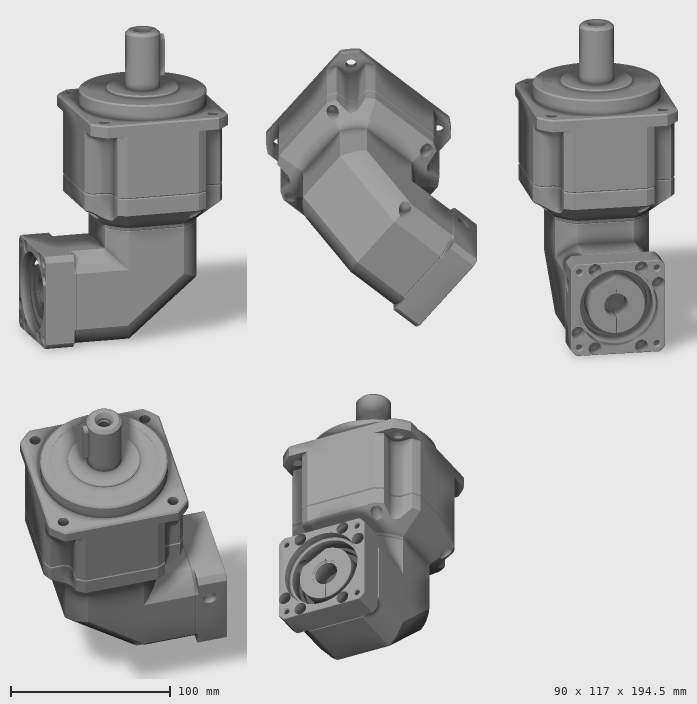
import cadquery as cq
import math


body_width = 90.0
body_turned_diameter = 101.5
flange_turned_diameter = 116.0
elbow_width = 60.0
elbow_turned_diameter = 70.0
plate_turned_diameter = 80.0

elbow_top = 73.1
taper_bottom = 75.3
taper_top = 87.3
body_joint = 98.5
flange_bottom = 139.0
flange_top = 146.8
pilot_top = 156.8
seal_top = 158.0
shaft_top = 194.5
joint_chamfer = 0.5
elbow_joint_chamfer = 0.4

flange_chamfer = 1.0
pilot_diameter = 80.0
pilot_chamfer = 1.0
pilot_recess_diameter = 68.0
pilot_recess_depth = 0.2
seal_diameter = 45.5
seal_chamfer = 0.5
mount_hole_diameter = 7.0
mount_hole_offset = 35.4
pocket_wall_offset = 28.8
pocket_radius = 5.6
pocket_size = 27.2

access_bore_diameter = 7.5

adapter_hole_along = 22.4
adapter_hole_out = 39.5
adapter_hole_end = 91.5

slope_start_z = 37.1
slope_end_y = -14.2
elbow_hole_x = -26.0
elbow_hole_y = -16.1
elbow_hole_end = 12.8

elbow_face_y = -52.0
plate_boss_length = 1.4
plate_face_y = -72.0
plate_front_chamfer = 0.4
recess_diameter = 51.0
recess_depth = 5.8
plate_bore_diameter = 46.5
plate_bore_depth = 15.5
plate_throat_diameter = 42.5
screw_circle_diameter = 59.1
screw_angles = [30, 60, 120, 210, 240, 300]
screw_head_diameter = 8.2
screw_head_depth = 10.0
screw_hole_diameter = 5.0
screw_thread_diameter = 3.7
screw_thread_depth = 7.8
tapped_offset = 24.7
tapped_diameter = 3.3
tapped_depth = 9.7
tapped_chamfer = 0.8
access_hole_diameter = 7.8
access_hole_chamfer = 0.5
access_hole_y = -60.7
access_hole_z = 43.0

hub_diameter = 36.0
hub_flat_distance = 15.5
hub_flat_angle = 30.0
hub_face_depth = 5.8
hub_bore_diameter = 15.2
hub_bore_rims = [(18.7, 0.4), (17.0, 0.8)]
hub_slit_width = 0.5
hub_slit_upper_reach = 10.5

shaft_diameter = 22.0
shaft_chamfer = 1.8
key_width = 6.0
key_length = 28.0
key_bottom = 163.0
key_seat_y = 7.5
key_outer_y = 13.6
center_cone_diameter = 12.0
center_relief_diameter = 8.5
center_thread_diameter = 6.8
center_relief_depth = 4.9
center_thread_depth = 19.5

half_elbow = elbow_width / 2
input_axis_z = half_elbow
elbow_flat_half = math.sqrt((elbow_turned_diameter / 2) ** 2 - half_elbow**2)
quarter_turns = [0, 90, 180, 270]


def turned_square(width, diameter, length):
    """Square bar along +Z whose corners are rounded by a concentric cylinder."""
    bar = cq.Workplane("XY").rect(width, width).extrude(length)
    return bar.intersect(cq.Workplane("XY").circle(diameter / 2).extrude(length))


def facing_input(solid, y_back):
    """Turn a solid built along +Z to run along -Y from y_back on the input axis."""
    return solid.rotate((0, 0, 0), (1, 0, 0), 90).translate((0, y_back, input_axis_z))


def top_bore(diameter, depth, z_top):
    """Round cutter reaching down by depth from z_top on the Z axis."""
    return cq.Workplane("XY").workplane(offset=z_top - depth).circle(diameter / 2).extrude(depth)


def cut_corner_pockets(solid, z_bottom, z_top):
    """Cut the round-bottomed pockets for the mounting screws out of the four corners."""
    center = pocket_wall_offset + pocket_size / 2
    pocket = (
        cq.Workplane("XY")
        .workplane(offset=z_bottom)
        .center(center, center)
        .rect(pocket_size, pocket_size)
        .extrude(z_top - z_bottom)
        .edges("|Z")
        .fillet(pocket_radius)
    )
    for angle in quarter_turns:
        solid = solid.cut(pocket.rotate((0, 0, 0), (0, 0, 1), angle))
    return solid


def plate_screw_points():
    """Centers of the input plate screws about the input axis."""
    radius = screw_circle_diameter / 2
    angles = [math.radians(angle) for angle in screw_angles]
    return [(radius * math.cos(angle), radius * math.sin(angle)) for angle in angles]


def make_shaft_blank():
    """Output shaft without its keyway and center hole."""
    return (
        cq.Workplane("XY")
        .workplane(offset=flange_bottom)
        .circle(shaft_diameter / 2)
        .extrude(shaft_top - flange_bottom)
        .faces(">Z")
        .chamfer(shaft_chamfer)
    )


def make_housing():
    body_height = flange_bottom - body_joint
    body = turned_square(body_width, body_turned_diameter, body_height).translate((0, 0, body_joint))
    body = cut_corner_pockets(body, body_joint, flange_bottom)
    body = body.faces("<Z").edges().chamfer(joint_chamfer)

    flange = turned_square(body_width, flange_turned_diameter, flange_top - flange_bottom)
    flange = flange.faces(">Z").edges().chamfer(flange_chamfer)
    flange = (
        flange.faces("<Z")
        .workplane()
        .rect(2 * mount_hole_offset, 2 * mount_hole_offset, forConstruction=True)
        .vertices()
        .hole(mount_hole_diameter)
        .translate((0, 0, flange_bottom))
    )

    pilot = (
        cq.Workplane("XY")
        .workplane(offset=flange_top)
        .circle(pilot_diameter / 2)
        .extrude(pilot_top - flange_top)
        .faces(">Z")
        .chamfer(pilot_chamfer)
    )
    recess = top_bore(pilot_recess_diameter, pilot_recess_depth, pilot_top)
    seal = (
        cq.Workplane("XY")
        .workplane(offset=flange_top)
        .circle(seal_diameter / 2)
        .extrude(seal_top - flange_top)
        .faces(">Z")
        .chamfer(seal_chamfer)
    )
    return body.union(flange).union(pilot.cut(recess)).union(seal).cut(make_shaft_blank())


def make_adapter():
    block = turned_square(body_width, body_turned_diameter, body_joint - taper_top)
    block = block.translate((0, 0, taper_top))

    taper_height = taper_top - taper_bottom
    pyramid = (
        cq.Workplane("XY")
        .workplane(offset=taper_bottom)
        .rect(elbow_width, elbow_width)
        .workplane(offset=taper_height)
        .rect(body_width, body_width)
        .loft(ruled=True)
    )
    cone = cq.Workplane(
        cq.Solid.makeCone(
            elbow_turned_diameter / 2,
            body_turned_diameter / 2,
            taper_height,
            pnt=cq.Vector(0, 0, taper_bottom),
        )
    )
    foot = turned_square(elbow_width, elbow_turned_diameter, taper_bottom - elbow_top)
    foot = foot.faces("<Z").edges().chamfer(elbow_joint_chamfer).translate((0, 0, elbow_top))

    adapter = cut_corner_pockets(block.union(pyramid.intersect(cone)), taper_bottom, body_joint)
    adapter = adapter.faces(">Z").edges().chamfer(joint_chamfer).union(foot)

    screw_hole = (
        cq.Workplane("XY")
        .workplane(offset=taper_bottom)
        .center(adapter_hole_along, -adapter_hole_out)
        .circle(access_bore_diameter / 2)
        .extrude(adapter_hole_end - taper_bottom)
    )
    for angle in quarter_turns:
        adapter = adapter.cut(screw_hole.rotate((0, 0, 0), (0, 0, 1), angle))
    return adapter


def make_slope_trim():
    """Material removed outside the sloping leg of the elbow and around its turned corners."""
    run = half_elbow - slope_end_y
    tilt = math.degrees(math.atan2(slope_start_z, run))
    reach = 2 * elbow_width
    corner_depth = half_elbow - elbow_flat_half
    slab = cq.Workplane("XY").box(reach, 2 * reach, reach + corner_depth, centered=(True, True, False))
    slab = slab.translate((0, 0, -reach))
    leg = turned_square(elbow_width, elbow_turned_diameter, 2 * reach)
    leg = leg.rotate((0, 0, 0), (1, 0, 0), 90).translate((0, reach, half_elbow))
    return slab.cut(leg).rotate((0, 0, 0), (1, 0, 0), tilt).translate((0, slope_end_y, 0))


def make_elbow():
    leg_bottom = input_axis_z - elbow_flat_half
    upright = turned_square(elbow_width, elbow_turned_diameter, elbow_top - leg_bottom)
    upright = upright.faces(">Z").edges().chamfer(elbow_joint_chamfer).translate((0, 0, leg_bottom))

    level = turned_square(elbow_width, elbow_turned_diameter, elbow_flat_half - elbow_face_y)
    level = level.faces(">Z").edges().chamfer(elbow_joint_chamfer)
    level = (
        level.faces(">Z")
        .workplane()
        .pushPoints(plate_screw_points())
        .hole(screw_thread_diameter, screw_thread_depth)
    )
    level = facing_input(level, elbow_flat_half)

    screw_hole = (
        cq.Workplane("XY")
        .center(elbow_hole_x, elbow_hole_y)
        .circle(access_bore_diameter / 2)
        .extrude(elbow_hole_end)
    )
    return upright.union(level).cut(make_slope_trim()).cut(screw_hole)


def make_input_plate():
    boss = turned_square(elbow_width, elbow_turned_diameter, plate_boss_length)
    boss = boss.faces("<Z").edges().chamfer(elbow_joint_chamfer)
    thickness = elbow_face_y - plate_face_y
    slab = turned_square(elbow_width, plate_turned_diameter, thickness - plate_boss_length)
    slab = slab.faces(">Z").edges().chamfer(plate_front_chamfer).translate((0, 0, plate_boss_length))

    plate = (
        boss.union(slab)
        .faces(">Z")
        .workplane(origin=(0, 0, thickness))
        .pushPoints(plate_screw_points())
        .cboreHole(screw_hole_diameter, screw_head_diameter, screw_head_depth)
    )
    bore_steps = [
        (plate_throat_diameter, thickness),
        (plate_bore_diameter, plate_bore_depth),
        (recess_diameter, recess_depth),
    ]
    for diameter, depth in bore_steps:
        plate = plate.cut(top_bore(diameter, depth, thickness))
    plate = (
        plate.faces(">Z")
        .workplane(origin=(0, 0, thickness))
        .rect(2 * tapped_offset, 2 * tapped_offset, forConstruction=True)
        .vertices()
        .cskHole(tapped_diameter, tapped_diameter + 2 * tapped_chamfer, 90, tapped_depth)
    )
    plate = facing_input(plate, elbow_face_y)

    return (
        plate.faces("<X")
        .workplane(origin=(-half_elbow, access_hole_y, access_hole_z))
        .cskHole(access_hole_diameter, access_hole_diameter + 2 * access_hole_chamfer, 90, half_elbow)
    )


def make_clamp_hub():
    length = elbow_face_y - plate_face_y - hub_face_depth
    radius = hub_diameter / 2
    hub = cq.Workplane("XY").circle(radius).extrude(length)
    flat = (
        cq.Workplane("XY")
        .rect(hub_diameter, hub_diameter)
        .extrude(length)
        .translate((0, hub_flat_distance + radius, 0))
        .rotate((0, 0, 0), (0, 0, 1), hub_flat_angle)
    )
    hub = hub.cut(flat)
    for diameter, depth in [*hub_bore_rims, (hub_bore_diameter, length)]:
        hub = hub.cut(top_bore(diameter, depth, length))
    slit_length = radius + hub_slit_upper_reach
    slit = (
        cq.Workplane("XY")
        .center(0, (hub_slit_upper_reach - radius) / 2)
        .rect(hub_slit_width, slit_length)
        .extrude(length)
    )
    return facing_input(hub.cut(slit), elbow_face_y)


def make_key():
    """Round-ended key lying in the +Y side of the shaft."""
    return (
        cq.Workplane("XZ", origin=(0, key_outer_y, key_bottom + key_length / 2))
        .slot2D(key_length, key_width, 90)
        .extrude(key_outer_y - key_seat_y)
    )


def make_center_hole():
    """Threaded center hole with a relief and a 60 degree lead-in cone."""
    cone_radius = center_cone_diameter / 2
    relief_radius = center_relief_diameter / 2
    thread_radius = center_thread_diameter / 2
    cone_depth = (cone_radius - relief_radius) / math.tan(math.radians(30))
    tip_depth = center_thread_depth + thread_radius / math.tan(math.radians(60))
    return (
        cq.Workplane("XZ", origin=(0, 0, shaft_top))
        .lineTo(cone_radius, 0)
        .lineTo(relief_radius, -cone_depth)
        .lineTo(relief_radius, -center_relief_depth)
        .lineTo(thread_radius, -center_relief_depth)
        .lineTo(thread_radius, -center_thread_depth)
        .lineTo(0, -tip_depth)
        .close()
        .revolve(360, (0, 0, 0), (0, 1, 0))
    )


housing = make_housing()
adapter = make_adapter()
elbow = make_elbow()
input_plate = make_input_plate()
clamp_hub = make_clamp_hub()
key = make_key()
shaft = make_shaft_blank().cut(key).cut(make_center_hole())

result = cq.Compound.makeCompound(
    [
        housing.val(),
        adapter.val(),
        elbow.val(),
        input_plate.val(),
        clamp_hub.val(),
        key.val(),
        shaft.val(),
    ]
)